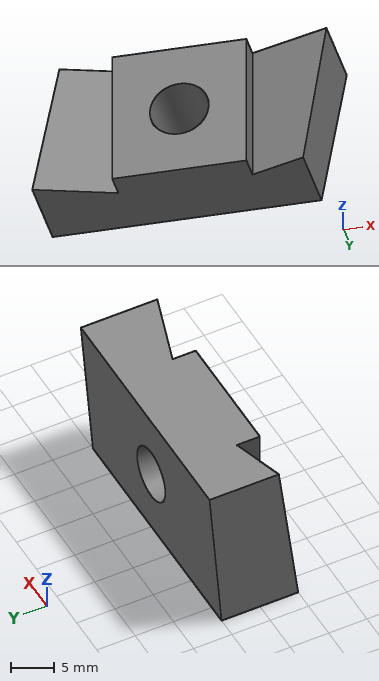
import cadquery as cq
import math

length = 35.0
depth = 10.0
height = 17.0

end_lean_angle = 10.0
pad_width = 15.95
pad_step = 3.0
hole_diameter = 7.0

half_length = length / 2
half_pad = pad_width / 2
half_height = height / 2
front_y = -depth / 2
back_y = depth / 2
root_y = front_y + pad_step
end_lean = height * math.tan(math.radians(end_lean_angle))


def notched_bar():
    """Bar with a raised front pad and wing faces sloping forward to each tip."""
    outline = [
        (-half_length, back_y),
        (-half_length, front_y),
        (-half_pad, root_y),
        (-half_pad, front_y),
        (half_pad, front_y),
        (half_pad, root_y),
        (half_length, front_y),
        (half_length, back_y),
    ]
    return cq.Workplane("XY").polyline(outline).close().extrude(half_height, both=True)


def leaning_envelope():
    """Parallelogram prism that gives the bar its leaning end faces."""
    outline = [
        (-half_length, -half_height),
        (half_length - end_lean, -half_height),
        (half_length, half_height),
        (-half_length + end_lean, half_height),
    ]
    return cq.Workplane("XZ").polyline(outline).close().extrude(depth, both=True)


def mounting_hole():
    """Cylinder through the middle of the pad, along Y."""
    return cq.Workplane("XZ").circle(hole_diameter / 2).extrude(depth, both=True)


result = notched_bar().intersect(leaning_envelope()).cut(mounting_hole())